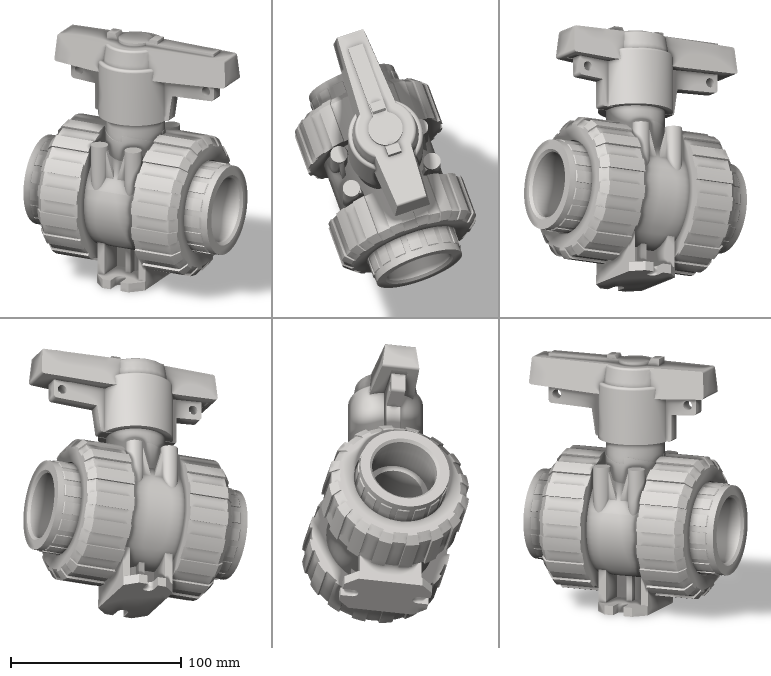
import cadquery as cq
import math


BORE_DIA = 32.0
BARREL_DIA = 64.1
BARREL_HALF = 30.3

NUT_DIA = 84.1
NUT_INNER_X = 17.8
NUT_OUTER_X = 45.8
NUT_CHAMFER_X = 4.0
NUT_CHAMFER_R = 4.5
NUT_BORE_DIA = 55.7
GRIP_COUNT = 16
GRIP_DEPTH = 1.5
GRIP_WIDTH = 8.3

CONNECTOR_DIA = 53.2
CONNECTOR_RIB_DIA = 54.5
CONNECTOR_END_X = 60.4
CONNECTOR_RIB_END_X = 56.1
CONNECTOR_RIB_COUNT = 16
CONNECTOR_RIB_WIDTH = 7.0
CONNECTOR_RIB_CHAMFER_R = 0.5
CONNECTOR_RIB_CHAMFER_X = 0.5
FLANGE_THICKNESS = 6.0
SOCKET_DIA = 38.9
SOCKET_DEPTH = 27.2
SOCKET_CHAMFER = 1.5

NECK_DIA = 35.0
NECK_TOP_Z = 67.2
COLLAR_DIA = 35.5
COLLAR_HIGH_Z = 42.4
COLLAR_LOW_Z = 38.5
RAMP_COUNT = 4
RAMP_START_ANGLE = -35.0
RAMP_END_ANGLE = 25.0
FLAT_HALF = 15.7

POST_DIA = 10.1
POST_X = 11.0
POST_Y = 25.1
POST_TOP_Z = 37.7
GUSSET_TOP_Z = 34.6
GUSSET_THICKNESS = 2.5
LONG_GUSSET_TOE_X = 1.2
LONG_GUSSET_TOE_Z = 18.5
CROSS_GUSSET_X = 13.3
CROSS_GUSSET_TOE_Y = 18.3
CROSS_GUSSET_TOE_Z = 26.3

FOOT_BOTTOM_Z = -51.1
FOOT_THICKNESS = 5.5
FOOT_HALF_X = 15.7
FOOT_HALF_Y = 26.3
FOOT_CHAMFER = 7.1
FOOT_SLOT_WIDTH = 6.7
FOOT_SLOT_CENTER_Y = 19.7
PEDESTAL_HALF_Y = 18.5
PEDESTAL_CHEEK = 4.5
PEDESTAL_WEB = 3.3
PEDESTAL_RIB_HALF_Y = 9.7
PEDESTAL_POST_DIA = 10.1

SLEEVE_DIA = 44.0
SLEEVE_BOTTOM_Z = 51.0
SLEEVE_TOP_Z = 85.3
SLEEVE_FILLET = 1.8
SLEEVE_SLOT_WIDTH = 10.0
HUB_BASE_DIA = 39.2
HUB_TOP_DIA = 35.5
HUB_FILLET = 1.7

BAR_TOP_Z = 96.0
BAR_BOTTOM_Z = 78.2
BAR_END_BOTTOM_Z = 79.7
BAR_LEFT_X = -48.1
BAR_RIGHT_X = 64.0
BAR_BOTTOM_HALF_Y = 14.2
BAR_TAPER = 0.062
BAR_END_DRAFT = 1.4
BAR_SIDE_DRAFT = 2.3
BAR_END_FILLET = 1.2
BAR_END_BOTTOM_FILLET = 1.5

WEB_THICKNESS = 8.3
WEB_LEFT_X = -40.2
WEB_RIGHT_X = 53.5
EAR_BOTTOM_Z = 68.2
EAR_ROOT_Z = 67.2
EAR_FILLET = 1.8
LEG_LEFT_X = -24.5
LEG_RIGHT_TOP_X = 26.2
LEG_RIGHT_BOTTOM_X = 23.7
LEG_FILLET = 1.2
EAR_HOLE_DIA = 5.5
EAR_HOLE_Z = 73.8
EAR_HOLE_LEFT_X = -35.0
EAR_HOLE_RIGHT_X = 48.4

CAP_DIA = 20.3
CAP_TOP_Z = 98.0
STRIP_WIDTH = 9.1
LUG_TOP_Z = 100.1
LUG_WIDTH = 8.0
LUG_OUTER_X = 16.6
LUG_TOP_INNER_X = 11.3
LUG_BASE_INNER_X = 9.4

FLANGE_OUTER_X = BARREL_HALF + FLANGE_THICKNESS
FOOT_TOP_Z = FOOT_BOTTOM_Z + FOOT_THICKNESS


def cylinder_x(diameter, x_start, x_end):
    return cq.Workplane("YZ", origin=(x_start, 0, 0)).circle(diameter / 2).extrude(x_end - x_start)


def cylinder_z(diameter, z_start, z_end, x=0, y=0):
    return cq.Workplane("XY", origin=(x, y, z_start)).circle(diameter / 2).extrude(z_end - z_start)


def box_between(x_range, y_range, z_range):
    sizes = [high - low for low, high in (x_range, y_range, z_range)]
    return cq.Workplane("XY", origin=(x_range[0], y_range[0], z_range[0])).box(*sizes, centered=False)


def plate_xz(points, thickness, y=0):
    """Plate of an XZ outline, centred on the given Y."""
    return cq.Workplane("XZ", origin=(0, y, 0)).polyline(points).close().extrude(thickness / 2, both=True)


def radial_bars(count, width, length, x_start, x_end):
    """Bars pointing outwards from the pipe axis, evenly spaced around it."""
    bar = box_between((x_start, x_end), (-width / 2, width / 2), (0, length))
    bars = cq.Workplane("XY")
    for i in range(count):
        bars = bars.union(bar.rotate((0, 0, 0), (1, 0, 0), i * 360 / count))
    return bars


def other_end(shape):
    """The mirror image of a shape at the opposite end of the pipe axis."""
    return shape.mirror("YZ")


def chamfered_disc(radius):
    outline = [
        (NUT_INNER_X, 0),
        (NUT_INNER_X, radius),
        (NUT_OUTER_X - NUT_CHAMFER_X, radius),
        (NUT_OUTER_X, radius - NUT_CHAMFER_R),
        (NUT_OUTER_X, 0),
    ]
    return cq.Workplane("XY").polyline(outline).close().revolve(360, (0, 0, 0), (1, 0, 0))


def make_nut():
    core = chamfered_disc(NUT_DIA / 2 - GRIP_DEPTH)
    grooves = radial_bars(GRIP_COUNT, GRIP_WIDTH, NUT_DIA, NUT_INNER_X, NUT_OUTER_X).cut(core)
    nut = chamfered_disc(NUT_DIA / 2).cut(grooves)
    nut = nut.cut(cylinder_x(NUT_BORE_DIA, NUT_INNER_X, NUT_OUTER_X))
    return nut.cut(cylinder_x(BARREL_DIA, NUT_INNER_X, FLANGE_OUTER_X))


def make_connector():
    tube = cylinder_x(CONNECTOR_DIA, BARREL_HALF, CONNECTOR_END_X)
    rib_ring = cylinder_x(CONNECTOR_RIB_DIA, FLANGE_OUTER_X, CONNECTOR_RIB_END_X)
    rib_ring = rib_ring.faces(">X").chamfer(CONNECTOR_RIB_CHAMFER_X, CONNECTOR_RIB_CHAMFER_R)
    ribs = rib_ring.intersect(
        radial_bars(
            CONNECTOR_RIB_COUNT, CONNECTOR_RIB_WIDTH, CONNECTOR_RIB_DIA, FLANGE_OUTER_X, CONNECTOR_RIB_END_X
        )
    )
    flange = cylinder_x(BARREL_DIA, BARREL_HALF, FLANGE_OUTER_X)
    connector = tube.union(ribs).union(flange)
    connector = connector.cut(cylinder_x(BORE_DIA, BARREL_HALF, CONNECTOR_END_X))
    socket = cylinder_x(SOCKET_DIA, CONNECTOR_END_X - SOCKET_DEPTH, CONNECTOR_END_X)
    mouth_radius = SOCKET_DIA / 2 + SOCKET_CHAMFER
    mouth_outline = [
        (CONNECTOR_END_X - SOCKET_CHAMFER, 0),
        (CONNECTOR_END_X - SOCKET_CHAMFER, SOCKET_DIA / 2),
        (CONNECTOR_END_X, mouth_radius),
        (CONNECTOR_END_X, 0),
    ]
    mouth = cq.Workplane("XY").polyline(mouth_outline).close().revolve(360, (0, 0, 0), (1, 0, 0))
    return connector.cut(socket).cut(mouth)


def make_collar():
    """Collar whose top edge is a ring of ramps, each dropping counter-clockwise to a step."""
    radius = COLLAR_DIA / 2
    ramp_start = radius * math.sin(math.radians(RAMP_START_ANGLE))
    ramp_end = radius * math.sin(math.radians(RAMP_END_ANGLE))
    ramp_outline = [
        (-radius, 0),
        (-radius, COLLAR_HIGH_Z),
        (ramp_start, COLLAR_HIGH_Z),
        (ramp_end, COLLAR_LOW_Z),
        (radius, COLLAR_LOW_Z),
        (radius, 0),
    ]
    ramp = cq.Workplane("YZ").polyline(ramp_outline).close().extrude(radius)
    quarter = cq.Workplane("XY").polyline([(0, 0), (radius, -radius), (2 * radius, 0), (radius, radius)])
    quarter = quarter.close().extrude(COLLAR_HIGH_Z).intersect(cylinder_z(COLLAR_DIA, 0, COLLAR_HIGH_Z))
    quarter = quarter.intersect(ramp)
    collar = cq.Workplane("XY")
    for i in range(RAMP_COUNT):
        collar = collar.union(quarter.rotate((0, 0, 0), (0, 0, 1), (i + 0.5) * 360 / RAMP_COUNT))
    return collar


def make_neck():
    neck = cylinder_z(NECK_DIA, 0, NECK_TOP_Z).union(make_collar())
    flat = box_between((FLAT_HALF, NECK_DIA), (-NECK_DIA, NECK_DIA), (0, COLLAR_LOW_Z))
    return neck.cut(flat).cut(other_end(flat))


def make_post():
    """One post of the (+X, +Y) corner with its two gussets."""
    post = cylinder_z(POST_DIA, 0, POST_TOP_Z, POST_X, POST_Y)
    long_gusset = plate_xz(
        [
            (POST_X, 0),
            (POST_X, GUSSET_TOP_Z),
            (POST_X - POST_DIA / 2, GUSSET_TOP_Z),
            (LONG_GUSSET_TOE_X, LONG_GUSSET_TOE_Z),
            (LONG_GUSSET_TOE_X, 0),
        ],
        GUSSET_THICKNESS,
        POST_Y,
    )
    cross_gusset = (
        cq.Workplane("YZ", origin=(CROSS_GUSSET_X, 0, 0))
        .polyline(
            [
                (POST_Y, 0),
                (POST_Y, GUSSET_TOP_Z),
                (POST_Y - POST_DIA / 2, GUSSET_TOP_Z),
                (CROSS_GUSSET_TOE_Y, CROSS_GUSSET_TOE_Z),
                (CROSS_GUSSET_TOE_Y, 0),
            ]
        )
        .close()
        .extrude(GUSSET_THICKNESS / 2, both=True)
    )
    return post.union(long_gusset).union(cross_gusset)


def make_posts():
    pair = make_post().union(other_end(make_post()))
    return pair.union(pair.mirror("XZ"))


def make_foot():
    plate = box_between(
        (-FOOT_HALF_X, FOOT_HALF_X), (-FOOT_HALF_Y, FOOT_HALF_Y), (FOOT_BOTTOM_Z, FOOT_TOP_Z)
    )
    plate = plate.edges("|Z").chamfer(FOOT_CHAMFER)
    pedestal_z = (FOOT_TOP_Z, 0)
    cheek_inner_x = FOOT_HALF_X - PEDESTAL_CHEEK
    cheek = box_between((cheek_inner_x, FOOT_HALF_X), (-PEDESTAL_HALF_Y, PEDESTAL_HALF_Y), pedestal_z)
    web = box_between((-FOOT_HALF_X, FOOT_HALF_X), (-PEDESTAL_WEB / 2, PEDESTAL_WEB / 2), pedestal_z)
    rib = box_between(
        (-PEDESTAL_WEB / 2, PEDESTAL_WEB / 2), (-PEDESTAL_RIB_HALF_Y, PEDESTAL_RIB_HALF_Y), pedestal_z
    )
    foot = plate.union(cheek).union(other_end(cheek)).union(web).union(rib)
    foot = foot.union(cylinder_z(PEDESTAL_POST_DIA, FOOT_TOP_Z, 0))
    for side in (-1, 1):
        slot_end_y = side * FOOT_SLOT_CENTER_Y
        foot = foot.cut(cylinder_z(FOOT_SLOT_WIDTH, FOOT_BOTTOM_Z, FOOT_TOP_Z, 0, slot_end_y))
        mouth_y = sorted((slot_end_y, side * FOOT_HALF_Y))
        half_width = FOOT_SLOT_WIDTH / 2
        foot = foot.cut(box_between((-half_width, half_width), mouth_y, (FOOT_BOTTOM_Z, FOOT_TOP_Z)))
    return foot


def make_body():
    body = cylinder_x(BARREL_DIA, -BARREL_HALF, BARREL_HALF)
    for feature in (make_neck(), make_posts(), make_foot()):
        body = body.union(feature)
    return body.cut(cylinder_x(BORE_DIA, -BARREL_HALF, BARREL_HALF))


def bar_outline(z, end_inset, side_inset):
    """Six-sided outline of the bar, widest at the handle axis."""
    left_x = BAR_LEFT_X + end_inset
    right_x = BAR_RIGHT_X - end_inset
    middle_y = BAR_BOTTOM_HALF_Y - side_inset
    left_y = middle_y + BAR_TAPER * left_x
    right_y = middle_y - BAR_TAPER * right_x
    points = [
        (left_x, -left_y, z),
        (0, -middle_y, z),
        (right_x, -right_y, z),
        (right_x, right_y, z),
        (0, middle_y, z),
        (left_x, left_y, z),
    ]
    return cq.Wire.makePolygon([cq.Vector(*p) for p in points], close=True)


def make_bar():
    bottom = bar_outline(BAR_BOTTOM_Z, 0, 0)
    top = bar_outline(BAR_TOP_Z, BAR_END_DRAFT, BAR_SIDE_DRAFT)
    bar = cq.Workplane(cq.Solid.makeLoft([bottom, top], True))
    for end in ("<X", ">X"):
        bar = bar.faces(">Z").edges(end).fillet(BAR_END_FILLET)
    sleeve_radius = SLEEVE_DIA / 2
    for sign, end_x in ((-1, BAR_LEFT_X), (1, BAR_RIGHT_X)):
        rise = plate_xz(
            [(sign * sleeve_radius, BAR_BOTTOM_Z), (end_x, BAR_END_BOTTOM_Z), (end_x, BAR_BOTTOM_Z)],
            2 * BAR_BOTTOM_HALF_Y,
        )
        bar = bar.cut(rise)
        end_edge = cq.NearestToPointSelector((end_x, 0, BAR_END_BOTTOM_Z))
        bar = bar.edges(end_edge).fillet(BAR_END_BOTTOM_FILLET)
    return bar


def make_hub():
    sleeve = cylinder_z(SLEEVE_DIA, SLEEVE_BOTTOM_Z, SLEEVE_TOP_Z)
    sleeve = sleeve.faces(">Z").edges().fillet(SLEEVE_FILLET)
    hub = (
        cq.Workplane("XY", origin=(0, 0, SLEEVE_TOP_Z))
        .circle(HUB_BASE_DIA / 2)
        .workplane(offset=BAR_TOP_Z - SLEEVE_TOP_Z)
        .circle(HUB_TOP_DIA / 2)
        .loft()
    )
    hub = hub.faces(">Z").edges().fillet(HUB_FILLET)
    return sleeve.union(hub)


def make_web():
    web = plate_xz(
        [
            (WEB_LEFT_X, BAR_END_BOTTOM_Z),
            (WEB_LEFT_X, EAR_BOTTOM_Z),
            (LEG_LEFT_X, EAR_ROOT_Z),
            (LEG_LEFT_X, SLEEVE_BOTTOM_Z),
            (LEG_RIGHT_BOTTOM_X, SLEEVE_BOTTOM_Z),
            (LEG_RIGHT_TOP_X, EAR_ROOT_Z),
            (WEB_RIGHT_X, EAR_BOTTOM_Z),
            (WEB_RIGHT_X, BAR_END_BOTTOM_Z),
        ],
        WEB_THICKNESS,
    )
    web = web.edges("|Y and <Z").fillet(LEG_FILLET)
    for corner_x in (WEB_LEFT_X, WEB_RIGHT_X):
        web = web.edges(cq.NearestToPointSelector((corner_x, 0, EAR_BOTTOM_Z))).fillet(EAR_FILLET)
    for hole_x in (EAR_HOLE_LEFT_X, EAR_HOLE_RIGHT_X):
        hole = cq.Workplane("XZ", origin=(hole_x, 0, EAR_HOLE_Z)).circle(EAR_HOLE_DIA / 2)
        web = web.cut(hole.extrude(WEB_THICKNESS, both=True))
    return web


def make_lug():
    return plate_xz(
        [
            (LUG_BASE_INNER_X, BAR_TOP_Z),
            (LUG_TOP_INNER_X, LUG_TOP_Z),
            (LUG_OUTER_X, LUG_TOP_Z),
            (LUG_OUTER_X, BAR_TOP_Z),
        ],
        LUG_WIDTH,
    )


def make_handle():
    handle = make_hub()
    slot_half = SLEEVE_SLOT_WIDTH / 2
    slot = box_between(
        (-SLEEVE_DIA, SLEEVE_DIA), (-slot_half, slot_half), (SLEEVE_BOTTOM_Z, BAR_END_BOTTOM_Z)
    )
    handle = handle.union(make_bar()).cut(slot).union(make_web())
    handle = handle.cut(cylinder_z(NECK_DIA, SLEEVE_BOTTOM_Z, NECK_TOP_Z))
    strip = box_between((0, WEB_RIGHT_X), (-STRIP_WIDTH / 2, STRIP_WIDTH / 2), (BAR_TOP_Z, CAP_TOP_Z))
    cap = cylinder_z(CAP_DIA, BAR_TOP_Z, CAP_TOP_Z).union(strip).clean()
    handle = handle.union(cap)
    return handle.union(make_lug()).union(other_end(make_lug()))


body = make_body()
nuts = [make_nut(), other_end(make_nut())]
connectors = [make_connector(), other_end(make_connector())]
handle = make_handle()

bodies = [body, handle, *nuts, *connectors]
result = cq.Compound.makeCompound([part.val() for part in bodies])